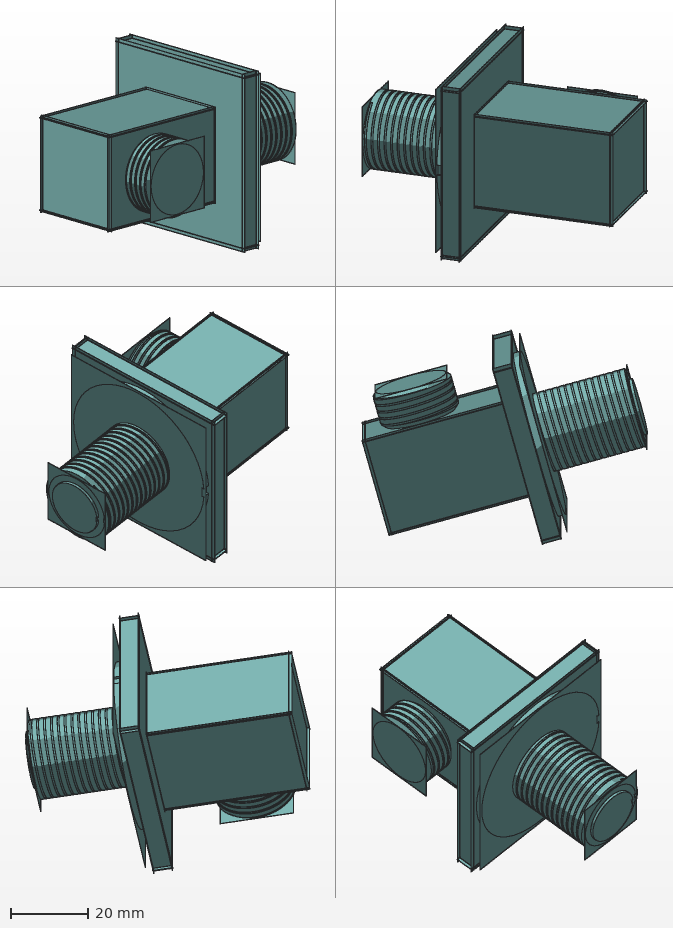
import cadquery as cq


OVERALL_DEPTH = 71

FACE_OVERHANG = 0.02
SHEET_THICKNESS = 0.1

PLATE_WIDTH = 46.0
PLATE_DEPTH = 5.0

DISC_DIAMETER = 43.85
DISC_DEPTH = 2.0
DISC_SHEET_WIDTH = 45.3
DISC_KEYWAY_WIDTH = 2.8
DISC_KEYWAY_DEPTH = 0.7

HOUSING_WIDTH = 25.0

THREAD_DIAMETER = 20.95
THREAD_TURNS_PER_100 = 55.52
THREAD_PITCH = 100 / THREAD_TURNS_PER_100
THREAD_END_CHAMFER = 1.15
THREAD_GROOVE_WIDTH = 0.5
THREAD_GROOVE_DEPTH = 0.15
END_FLANGE_WIDTH = 19.3

PIPE_THREAD_LENGTH = 24.6
NECK_DIAMETER = THREAD_DIAMETER - 2 * THREAD_END_CHAMFER
NECK_LENGTH = 0.4
PIPE_GROOVE_START = -0.4

CAP_DIAMETER = 15.0
CAP_LENGTH = 0.8
END_SLOT_WIDTH = 1.1
END_SLOT_DEPTH = 0.35

OUTLET_LENGTH = 9.65
OUTLET_FROM_PLATE = 22.5
OUTLET_GROOVE_START = -0.2

DISC_REAR = PLATE_DEPTH + DISC_DEPTH
NECK_START = DISC_REAR + PIPE_THREAD_LENGTH
CAP_START = NECK_START + NECK_LENGTH
CAP_END = CAP_START + CAP_LENGTH
HOUSING_DEPTH = (OVERALL_DEPTH - CAP_END) / (1 + FACE_OVERHANG)


def centred_box(size, centre):
    return cq.Workplane("XY").box(*size).translate(centre)


def sheet_faced_box(width, depth, front, rear_overhang):
    """Square block along Y whose flat faces are thin sheets reaching past its edges."""
    size = (width, depth, width)
    centre = (0, front + depth / 2, 0)
    block = centred_box(size, centre)
    for axis in range(3):
        sheet = [length * (1 + 2 * FACE_OVERHANG) for length in size]
        sheet[axis] = SHEET_THICKNESS
        for side in (-1, 1):
            place = list(centre)
            place[axis] += side * (size[axis] - SHEET_THICKNESS) / 2
            block = block.union(centred_box(sheet, tuple(place)))
    if not rear_overhang:
        beyond_rear = centred_box((2 * width, depth, 2 * width), (0, front + 3 * depth / 2, 0))
        block = block.cut(beyond_rear)
    return block


def cylinder_z(diameter, start, length):
    return cq.Workplane("XY").workplane(offset=start).circle(diameter / 2).extrude(length)


def thread_groove(start, length):
    """Cutter for a right-hand helical groove around Z."""
    radius = THREAD_DIAMETER / 2
    path = cq.Workplane(cq.Wire.makeHelix(THREAD_PITCH, length, radius))
    groove = (
        cq.Workplane("XZ")
        .center(radius, 0)
        .rect(2 * THREAD_GROOVE_DEPTH, THREAD_GROOVE_WIDTH)
        .sweep(path, isFrenet=True)
    )
    return groove.translate((0, 0, start))


def square_sheet_z(width, end):
    """Thin square sheet across Z whose far face is at the given end."""
    size = (width, width, SHEET_THICKNESS)
    return centred_box(size, (0, 0, end - SHEET_THICKNESS / 2))


def left_notch_z(diameter, width, depth, start, length):
    """Cutter along Z that notches the -X side of a round body."""
    size = (2 * depth, width, length)
    return centred_box(size, (-diameter / 2, 0, start + length / 2))


def make_plate():
    return sheet_faced_box(PLATE_WIDTH, PLATE_DEPTH, 0, rear_overhang=True)


def make_housing():
    return sheet_faced_box(HOUSING_WIDTH, HOUSING_DEPTH, -HOUSING_DEPTH, rear_overhang=False)


def along_y(body):
    return body.rotate((0, 0, 0), (1, 0, 0), -90)


def make_disc():
    disc = cylinder_z(DISC_DIAMETER, PLATE_DEPTH, DISC_DEPTH)
    keyway = left_notch_z(DISC_DIAMETER, DISC_KEYWAY_WIDTH, DISC_KEYWAY_DEPTH, PLATE_DEPTH, DISC_DEPTH)
    disc = disc.cut(keyway).union(square_sheet_z(DISC_SHEET_WIDTH, DISC_REAR))
    return along_y(disc)


def make_pipe():
    thread = cylinder_z(THREAD_DIAMETER, DISC_REAR, PIPE_THREAD_LENGTH)
    groove_start = DISC_REAR + PIPE_GROOVE_START
    thread = thread.cut(thread_groove(groove_start, PIPE_THREAD_LENGTH))
    neck = cylinder_z(NECK_DIAMETER, NECK_START, NECK_LENGTH)
    neck = neck.cut(left_notch_z(NECK_DIAMETER, END_SLOT_WIDTH, END_SLOT_DEPTH, NECK_START, NECK_LENGTH))
    pipe = thread.union(neck).union(square_sheet_z(END_FLANGE_WIDTH, CAP_START))
    return along_y(pipe)


def make_cap():
    cap = cylinder_z(CAP_DIAMETER, CAP_START, CAP_LENGTH)
    cap = cap.cut(left_notch_z(CAP_DIAMETER, END_SLOT_WIDTH, END_SLOT_DEPTH, CAP_START, CAP_LENGTH))
    return along_y(cap)


def make_outlet():
    outlet = (
        cylinder_z(THREAD_DIAMETER, 0, OUTLET_LENGTH)
        .faces("<Z or >Z")
        .chamfer(THREAD_END_CHAMFER)
    )
    outlet = outlet.cut(thread_groove(OUTLET_GROOVE_START, OUTLET_LENGTH))
    outlet = outlet.union(square_sheet_z(END_FLANGE_WIDTH, OUTLET_LENGTH))
    along_x = outlet.rotate((0, 0, 0), (0, 1, 0), 90)
    return along_x.translate((HOUSING_WIDTH / 2, -OUTLET_FROM_PLATE, 0))


plate = make_plate().solids()
disc = make_disc().solids()
housing = make_housing().solids()
pipe = make_pipe().solids()
cap = make_cap().solids()
outlet = make_outlet().solids()

result = cq.Compound.makeCompound(
    [plate.val(), disc.val(), housing.val(), pipe.val(), cap.val(), outlet.val()]
)